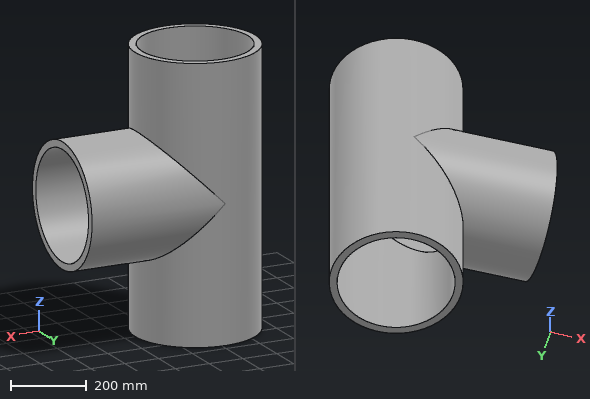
import cadquery as cq

run_length = 789.0
outer_diameter = 355.0
wall = 21.0
branch_reach = 394.0

inner_diameter = outer_diameter - 2 * wall


def tee_body(diameter):
    """Solid run and branch cylinders of one diameter, joined at the run's centre."""
    run = cq.Workplane("XY").circle(diameter / 2).extrude(run_length / 2, both=True)
    branch = cq.Workplane("YZ").circle(diameter / 2).extrude(branch_reach)
    return run.union(branch)


result = tee_body(outer_diameter).cut(tee_body(inner_diameter))